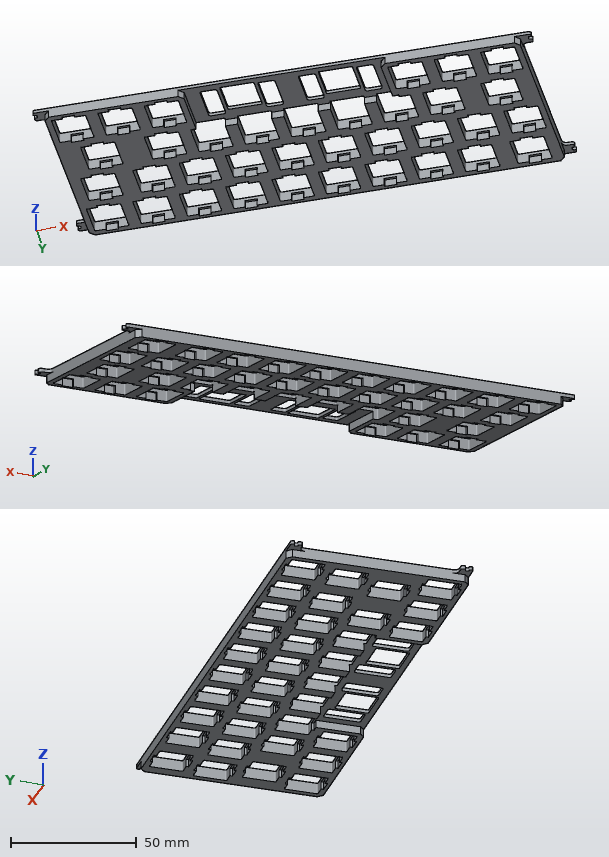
import cadquery as cq

KEY_PITCH = 19.05
ROW_WIDTH_IN_KEYS = 10.25
ROW_COUNT = 4
PLATE_WIDTH = ROW_WIDTH_IN_KEYS * KEY_PITCH
PLATE_DEPTH = ROW_COUNT * KEY_PITCH
OVERALL_WIDTH = 204.7
PLATE_THICKNESS = 1.5
TOTAL_THICKNESS = 4.75
FRAME_THICKNESS = TOTAL_THICKNESS - PLATE_THICKNESS

TAB_LENGTH = (OVERALL_WIDTH - PLATE_WIDTH) / 2
TAB_DEPTH = 5.0
TAB_TIPS_X = (-OVERALL_WIDTH / 2, OVERALL_WIDTH / 2)
TAB_ROOT_RADIUS = 2.0
TAB_CORNER_RADIUS = 1.0
NOTCH_WIDTH = 1.6
NOTCH_LENGTH = 1.5
NOTCH_FROM_EDGE = 2.35
NOTCH_MOUTH_RADIUS = 0.5

FRAME_CHAMFER = 2.0
RECESS_WIDTH = 4.25 * KEY_PITCH
RECESS_DEPTH = 22.5
RECESS_CORNER_CHAMFER = 2.0

SWITCH_SIZE = 14.0
SWITCH_CORNER_RADIUS = 0.5
CLIP_WIDTH = 5.0
CLIP_SPAN = 16.0

STABILIZER_WIDTH = 7.0
STABILIZER_DEPTH = 15.5
STABILIZER_SPACING = 23.8
STABILIZER_OFFSET_Y = 1.5
STABILIZER_CORNER_RADIUS = 1.0

KEY_ROWS = [
    [1] * 9 + [1.25],
    [1.25] + [1] * 9,
    [1.75] + [1] * 7 + [1.5],
    [1, 1, 1, 2.25, 2, 1, 1, 1],
]
STABILIZED_KEY_WIDTH = 2


def key_positions():
    """Return (x, y, width in units) for the centre of every key."""
    keys = []
    for row, widths in enumerate(KEY_ROWS):
        y = PLATE_DEPTH / 2 - (row + 0.5) * KEY_PITCH
        left = -PLATE_WIDTH / 2
        for width in widths:
            keys.append((left + width * KEY_PITCH / 2, y, width))
            left += width * KEY_PITCH
    return keys


KEYS = key_positions()
WIDE_KEYS = [(x, y) for x, y, width in KEYS if width >= STABILIZED_KEY_WIDTH]
KEY_CENTERS = [(x, y) for x, y, width in KEYS]


def make_block(width, depth, bottom, height):
    """Box centred on the Z axis that starts at the given height."""
    return cq.Workplane("XY").workplane(offset=bottom).rect(width, depth).extrude(height)


def make_plate():
    """Thin plate whose side cutouts leave a rounded tab at each corner."""
    plate = make_block(OVERALL_WIDTH, PLATE_DEPTH, FRAME_THICKNESS, PLATE_THICKNESS)
    side_cutout = (
        make_block(2 * TAB_LENGTH, PLATE_DEPTH - 2 * TAB_DEPTH, FRAME_THICKNESS, PLATE_THICKNESS)
        .edges("|Z").fillet(TAB_ROOT_RADIUS)
    )
    for tip_x in TAB_TIPS_X:
        plate = plate.cut(side_cutout.translate((tip_x, 0, 0)))
    return plate.faces("<X or >X").edges("|Z").fillet(TAB_CORNER_RADIUS)


def cut_tab_notches(plate):
    """Cut a round-ended notch into the tip of every tab and round its mouth."""
    notch = (
        cq.Workplane("XY").workplane(offset=FRAME_THICKNESS)
        .slot2D(2 * NOTCH_LENGTH, NOTCH_WIDTH).extrude(PLATE_THICKNESS)
    )
    notch_y = PLATE_DEPTH / 2 - NOTCH_FROM_EDGE
    middle_z = FRAME_THICKNESS + PLATE_THICKNESS / 2
    for tip_x in TAB_TIPS_X:
        for y in (-notch_y, notch_y):
            plate = plate.cut(notch.translate((tip_x, y, 0)))
            for mouth_y in (y - NOTCH_WIDTH / 2, y + NOTCH_WIDTH / 2):
                mouth_edge = cq.NearestToPointSelector((tip_x, mouth_y, middle_z))
                plate = plate.edges(mouth_edge).fillet(NOTCH_MOUTH_RADIUS)
    return plate


def make_frame():
    """Lower frame with chamfered corners, a front recess and switch clip pockets."""
    frame = make_block(PLATE_WIDTH, PLATE_DEPTH, 0, FRAME_THICKNESS)
    frame = frame.edges("|Z").chamfer(FRAME_CHAMFER)
    half_width = RECESS_WIDTH / 2
    half_mouth = half_width + RECESS_CORNER_CHAMFER
    front = -PLATE_DEPTH / 2
    recess = (
        cq.Workplane("XY")
        .polyline([
            (-half_mouth, front),
            (half_mouth, front),
            (half_width, front + RECESS_CORNER_CHAMFER),
            (half_width, front + RECESS_DEPTH),
            (-half_width, front + RECESS_DEPTH),
            (-half_width, front + RECESS_CORNER_CHAMFER),
        ])
        .close().extrude(FRAME_THICKNESS)
    )
    frame = frame.cut(recess)
    clips = (
        cq.Workplane("XY").pushPoints(KEY_CENTERS)
        .rect(CLIP_WIDTH, CLIP_SPAN).extrude(FRAME_THICKNESS)
    )
    return frame.cut(clips)


def make_switch_openings():
    """Square through holes for the switches."""
    return (
        cq.Workplane("XY").pushPoints(KEY_CENTERS)
        .rect(SWITCH_SIZE, SWITCH_SIZE).extrude(TOTAL_THICKNESS)
        .edges("|Z").fillet(SWITCH_CORNER_RADIUS)
    )


def make_stabilizer_openings():
    """Tall through slots on both sides of every wide key."""
    centers = []
    for x, y in WIDE_KEYS:
        for side in (-1, 1):
            centers.append((x + side * STABILIZER_SPACING / 2, y + STABILIZER_OFFSET_Y))
    return (
        cq.Workplane("XY").pushPoints(centers)
        .rect(STABILIZER_WIDTH, STABILIZER_DEPTH).extrude(TOTAL_THICKNESS)
        .edges("|Z").fillet(STABILIZER_CORNER_RADIUS)
    )


result = cut_tab_notches(make_plate()).union(make_frame())
result = result.cut(make_switch_openings()).cut(make_stabilizer_openings())